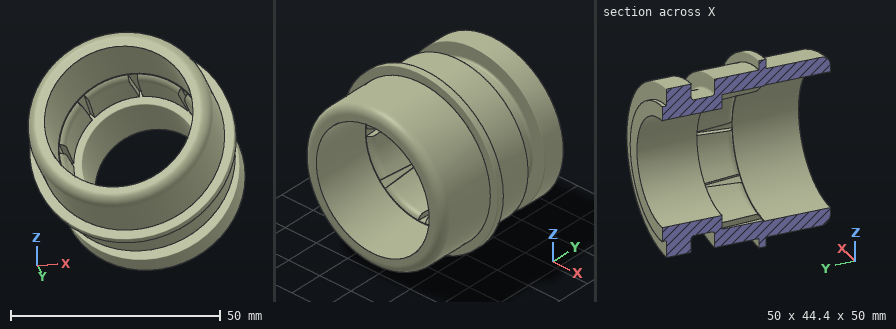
import cadquery as cq

total_length = 44.4

body_radius = 22.5
collar_radius = 25.0
neck_radius = 18.15
hub_radius = 18.0
collar_start = 16.95
collar_width = 2.0
neck_start = 30.6
neck_end = 36.65
hub_length = 1.1
mouth_round = 2.6
neck_round = 0.7
edge_round = 0.2

socket_radius = 18.05
slot_floor_radius = 17.85
finger_radius = 16.4
bore_radius = 14.2
bore_edge_round = 0.25
finger_start = 17.6
finger_lead_in = 2.0
ledge_position = 28.5

slot_count = 8
slot_front_width = 2.25
slot_back_width = 0.8


def cylinder(radius, start, end):
    """Solid cylinder along Y between two positions."""
    return cq.Workplane("XZ", origin=(0, start, 0)).circle(radius).extrude(start - end)


def outer_body():
    hub_start = total_length - hub_length
    front = cylinder(body_radius, 0, neck_start).faces("<Y").edges().fillet(mouth_round)
    front = front.faces(">Y").edges().fillet(edge_round)
    collar = cylinder(collar_radius, collar_start, collar_start + collar_width)
    collar = collar.edges().fillet(edge_round)
    rear = cylinder(body_radius, neck_end, hub_start).edges().fillet(edge_round)
    hub = cylinder(hub_radius, hub_start, total_length)
    return front.union(collar).union(neck()).union(rear).union(hub)


def neck():
    """Neck whose ends flare with a round into the shoulders on either side."""
    flare_radius = neck_radius + neck_round
    round_inset = neck_round * (1 - 0.5 ** 0.5)
    profile = (
        cq.Workplane("XY")
        .moveTo(0, neck_start)
        .lineTo(flare_radius, neck_start)
        .threePointArc(
            (neck_radius + round_inset, neck_start + round_inset),
            (neck_radius, neck_start + neck_round),
        )
        .lineTo(neck_radius, neck_end - neck_round)
        .threePointArc(
            (neck_radius + round_inset, neck_end - round_inset),
            (flare_radius, neck_end),
        )
        .lineTo(0, neck_end)
        .close()
    )
    return profile.revolve(360, (0, 0, 0), (0, 1, 0))


def inner_cavity():
    """Socket, rounded lead-in of the fingers, finger bore and through bore."""
    round_inset = bore_edge_round * (1 - 0.5 ** 0.5)
    profile = (
        cq.Workplane("XY")
        .moveTo(0, total_length)
        .lineTo(bore_radius, total_length)
        .lineTo(bore_radius, ledge_position + bore_edge_round)
        .threePointArc(
            (bore_radius + round_inset, ledge_position + round_inset),
            (bore_radius + bore_edge_round, ledge_position),
        )
        .lineTo(finger_radius, ledge_position)
        .lineTo(finger_radius, finger_start + finger_lead_in)
        .tangentArcPoint((slot_floor_radius, finger_start), relative=False)
        .lineTo(socket_radius, finger_start)
        .lineTo(socket_radius, 0)
        .lineTo(0, 0)
        .close()
    )
    return profile.revolve(360, (0, 0, 0), (0, 1, 0))


def finger_slots():
    """Wedge slots that narrow toward the ledge, cut just short of the socket radius."""
    wedge = (
        cq.Workplane("XY")
        .polyline([
            (-slot_front_width / 2, finger_start),
            (slot_front_width / 2, finger_start),
            (slot_back_width / 2, ledge_position),
            (-slot_back_width / 2, ledge_position),
        ])
        .close()
        .extrude(body_radius)
    )
    slots = cq.Workplane("XY")
    for index in range(slot_count):
        slots = slots.union(wedge.rotate((0, 0, 0), (0, 1, 0), index * 360 / slot_count))
    return slots.intersect(cylinder(slot_floor_radius, finger_start, ledge_position))


result = outer_body().cut(inner_cavity()).cut(finger_slots())